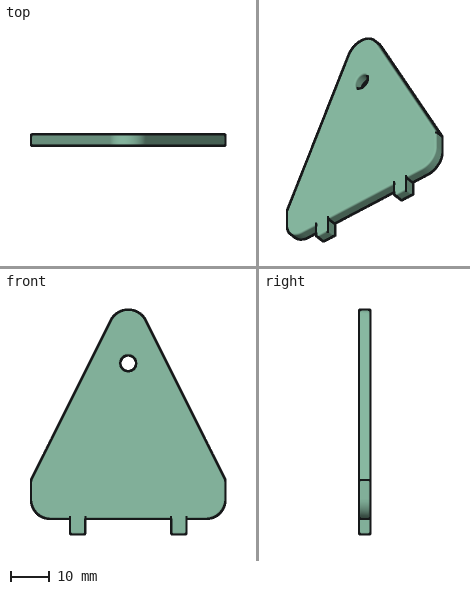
import cadquery as cq
import math

width = 50.0
thickness = 3.0
height = 57.8
corner_radius = 5.0
side_height = 10.0
edge_round = 0.5
hole_diameter = 4.0
hole_height = 40.0
tab_width = 4.0
tab_length = 4.0
tab_spacing = 26.0

half_width = width / 2
plate_bottom = tab_length
shoulder_z = plate_bottom + side_height
apex_center_z = height - corner_radius

shoulder_rise = apex_center_z - shoulder_z
shoulder_distance = math.hypot(half_width, shoulder_rise)
tangent_angle = math.acos(corner_radius / shoulder_distance) - math.atan2(shoulder_rise, half_width)
tangent_x = corner_radius * math.cos(tangent_angle)
tangent_z = apex_center_z + corner_radius * math.sin(tangent_angle)


def make_plate():
    """Triangular plate with rounded corners, rounded edges and a hanging hole."""
    outline = (
        cq.Workplane("XZ", origin=(0, thickness / 2, 0))
        .moveTo(-half_width, plate_bottom)
        .lineTo(half_width, plate_bottom)
        .lineTo(half_width, shoulder_z)
        .lineTo(tangent_x, tangent_z)
        .threePointArc((0, height), (-tangent_x, tangent_z))
        .lineTo(-half_width, shoulder_z)
        .close()
    )
    plate = outline.extrude(thickness)
    lower_corners = cq.selectors.BoxSelector(
        (-width, -thickness, plate_bottom - edge_round),
        (width, thickness, plate_bottom + edge_round),
    )
    plate = plate.edges("|Y").edges(lower_corners).fillet(corner_radius)
    hole = (
        cq.Workplane("XZ", origin=(0, thickness / 2, plate_bottom + hole_height))
        .circle(hole_diameter / 2)
        .extrude(thickness)
    )
    return plate.cut(hole).faces("<Y or >Y").edges().fillet(edge_round)


def make_tab(center_x):
    """Full-thickness tab reaching into the plate, with its lower end rounded."""
    tab_height = tab_length + 2 * edge_round
    return (
        cq.Workplane("XY")
        .box(tab_width, thickness, tab_height, centered=(True, True, False))
        .faces("<Z")
        .edges()
        .fillet(edge_round)
        .translate((center_x, 0, 0))
    )


result = make_plate()
for side in (-1, 1):
    result = result.union(make_tab(side * tab_spacing / 2))